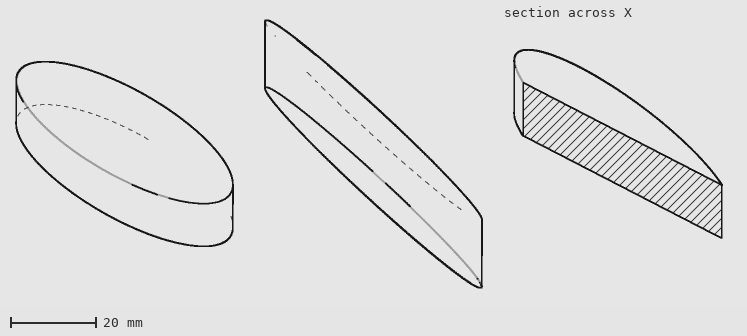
import cadquery as cq
import math

diameter = 50.8
normal_thickness = 12.0
tilt = math.radians(45)
rim_fillet = 0.125

radius = diameter / 2
wall_height = normal_thickness / math.cos(tilt)
rise = radius * math.tan(tilt)
top_z = rise
bottom_z = -rise - wall_height


def make_bar():
    """Upright round bar spanning the height between the two sharp tips."""
    return cq.Workplane("XY", origin=(0, 0, bottom_z)).circle(radius).extrude(top_z - bottom_z)


def make_tilted_slab():
    """Slab between the two mirror faces, sloping down toward +Y."""
    profile = [
        (-radius, top_z - wall_height),
        (-radius, top_z),
        (radius, bottom_z + wall_height),
        (radius, bottom_z),
    ]
    return cq.Workplane("YZ").polyline(profile).close().extrude(radius, both=True)


def round_face_rims(mirror):
    """Small fillet around the elliptical rim of both mirror faces."""
    return mirror.faces("%PLANE").edges().fillet(rim_fillet)


result = round_face_rims(make_bar().intersect(make_tilted_slab()))